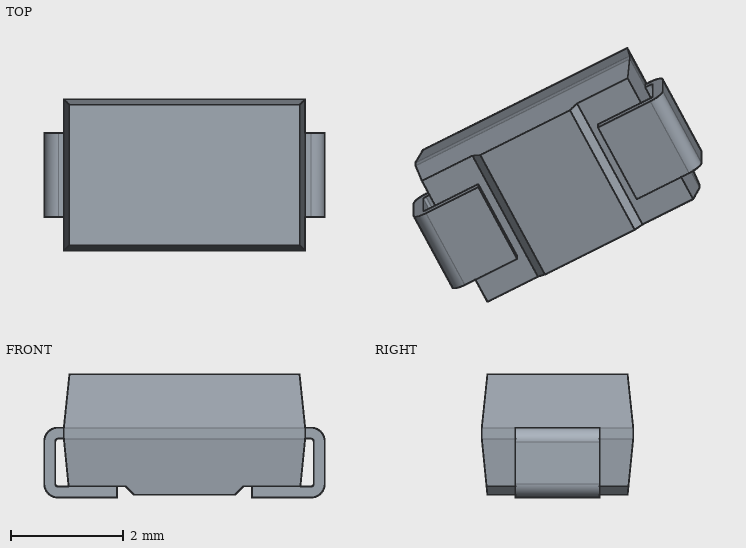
import cadquery as cq

overall_length = 5.0
lead_thickness = 0.2
lead_width = 1.5
lead_height = 1.25
lead_outer_radius = 0.25
lead_inner_radius = lead_outer_radius - lead_thickness
foot_gap = 2.4

body_length = 4.3
body_width = 2.7
body_top = 2.2
draft_inset = 0.1
band_top = lead_height
band_bottom = band_top - lead_thickness

body_underside = lead_thickness
standoff_bottom = 0.05
standoff_bottom_length = 1.8
standoff_top_length = 2.1


def drafted_block(start_z, end_z):
    """Block with the full body outline at start_z, narrowing evenly to end_z."""
    return (
        cq.Workplane("XY", origin=(0, 0, start_z))
        .rect(body_length, body_width)
        .workplane(offset=end_z - start_z)
        .rect(body_length - 2 * draft_inset, body_width - 2 * draft_inset)
        .loft(ruled=True)
    )


def foot_clearance(side):
    """Space under one end of the body, bounded by the sloping standoff flank."""
    outer_x = side * overall_length / 2
    return (
        cq.Workplane("XZ")
        .moveTo(outer_x, body_underside)
        .lineTo(side * standoff_top_length / 2, body_underside)
        .lineTo(side * standoff_bottom_length / 2, standoff_bottom)
        .lineTo(outer_x, standoff_bottom)
        .close()
        .extrude(body_width / 2, both=True)
    )


def make_body():
    """Straight middle band, drafted above and below, with a standoff underneath."""
    band = (
        cq.Workplane("XY", origin=(0, 0, band_bottom))
        .rect(body_length, body_width)
        .extrude(band_top - band_bottom)
    )
    upper = drafted_block(band_top, body_top)
    lower = drafted_block(band_bottom, standoff_bottom)
    for side in (-1, 1):
        lower = lower.cut(foot_clearance(side))
    return band.union(upper).union(lower)


def rounded_end_block(side, outer_x, bottom_z, top_z, radius):
    """Lead-wide block from the foot end to outer_x, rounded at its outer end."""
    foot_end_x = foot_gap / 2
    length = outer_x - foot_end_x
    center_x = side * (foot_end_x + outer_x) / 2
    outer_face = ">X" if side > 0 else "<X"
    return (
        cq.Workplane("XY", origin=(center_x, 0, bottom_z))
        .rect(length, lead_width)
        .extrude(top_z - bottom_z)
        .faces(outer_face)
        .edges("|Y")
        .fillet(radius)
    )


def make_lead(side):
    """C-shaped strip leaving the body, bent down and back under it."""
    outer_x = overall_length / 2
    outside = rounded_end_block(side, outer_x, 0, lead_height, lead_outer_radius)
    inside = rounded_end_block(
        side,
        outer_x - lead_thickness,
        lead_thickness,
        lead_height - lead_thickness,
        lead_inner_radius,
    )
    return outside.cut(inside)


result = make_body()
for lead_side in (-1, 1):
    result = result.union(make_lead(lead_side))